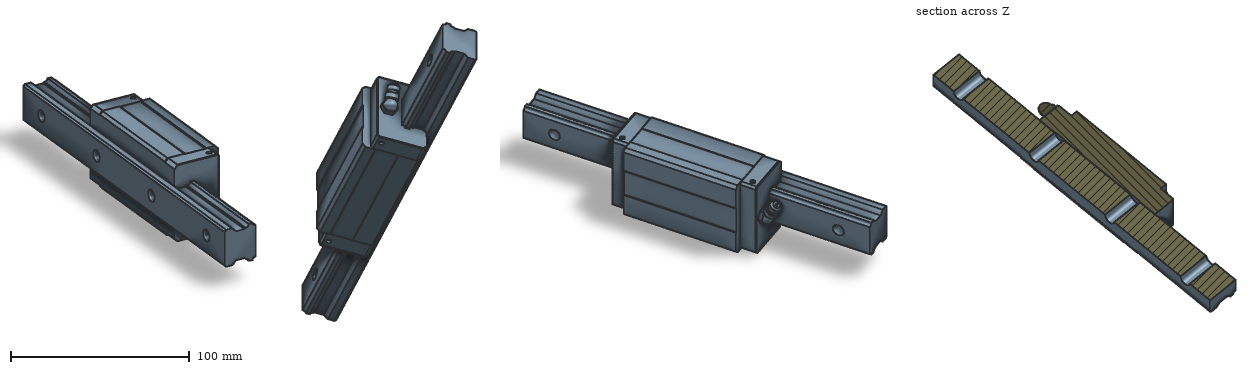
import cadquery as cq


rail_length = 220.0
rail_half_width = 11.5
rail_base_chamfer = 1.0
rail_top_half_width = 9.7
rail_web_half_width = 9.0
rail_foot_height = 5.0
web_bottom = 7.5
web_top = 13.0
web_relief = 0.7
land_bottom = 15.8
land_top = 18.3
upper_groove_height = 2.1
rail_height = land_top + upper_groove_height
groove_sag = 0.55
rail_hole_diameter = 7.0
rail_hole_pitch = 60.0
rail_hole_count = 4

carriage_top = 40.0
carriage_bottom = 5.5
block_length = 71.3
block_width = 48.0
block_chamfer = 2.0
block_bottom_chamfer_height = 1.5
side_recess_bottom = 18.5
side_recess_top = 32.0
side_recess_depth = 0.5
top_groove_width = 17.2
top_groove_depth = 0.7

cap_end_x = 46.0
cap_width = 47.5
cap_shoulder = 33.7
cap_top_chamfer = 1.43
cap_top = cap_shoulder + cap_top_chamfer
cap_bottom_chamfer = 2.2
seal_thickness = 0.7
seal_top_inset = 0.7
seal_side_inset = 0.2
cap_hole_diameter = 2.9
cap_hole_depth = 2.2
cap_hole_x = 41.4
cap_hole_y = 30.8

nipple_y = 28.4
hex_corner_diameter = 9.7
hex_thickness = 2.5
ball_radius = 4.2
ball_offset = 3.0
barrel_tilt = 30.0
collar_radius = 3.85
collar_start = 3.5
collar_end = 6.5
neck_radius = 2.6
head_radius = 3.5
head_start = 8.4
head_shoulder = 11.0
tip_radius = 2.2
barrel_length = 12.3
tip_bore_diameter = 1.5
tip_bore_depth = 1.0


def mirrored_bar(half_outline, length):
    """Bar centred on X = 0 whose section is the half outline plus its mirror image in Z = 0."""
    half = half_outline.extrude(length / 2, both=True)
    return half.union(half.mirror("XY")).clean()


def rail_bar():
    """Rail without its screw holes; the carriage channel has the same section."""
    half_outline = (
        cq.Workplane("YZ")
        .moveTo(0, 0)
        .lineTo(0, rail_half_width - rail_base_chamfer)
        .lineTo(rail_base_chamfer, rail_half_width)
        .lineTo(rail_foot_height, rail_half_width)
        .lineTo(web_bottom, rail_web_half_width)
        .lineTo(web_top, rail_web_half_width)
        .lineTo(web_top + web_relief, rail_web_half_width + web_relief)
        .sagittaArc((land_bottom, rail_half_width), -groove_sag)
        .lineTo(land_top, rail_half_width)
        .sagittaArc((rail_height, rail_top_half_width), -groove_sag)
        .lineTo(rail_height, 0)
        .close()
    )
    return mirrored_bar(half_outline, rail_length)


def make_rail():
    """Rail with a row of through holes along its length."""
    holes = (
        cq.Workplane("XZ")
        .rarray(rail_hole_pitch, 2.2, rail_hole_count, 1)
        .circle(rail_hole_diameter / 2)
        .extrude(-rail_height)
    )
    return rail_bar().cut(holes)


def make_block():
    """Steel middle of the carriage, with side recesses and a shallow groove in its top."""
    half_width = block_width / 2
    recess_half_width = half_width - side_recess_depth
    half_outline = (
        cq.Workplane("YZ")
        .moveTo(carriage_bottom, 0)
        .lineTo(carriage_bottom, half_width - block_chamfer)
        .lineTo(carriage_bottom + block_bottom_chamfer_height, half_width)
        .lineTo(side_recess_bottom, half_width)
        .lineTo(side_recess_bottom, recess_half_width)
        .lineTo(side_recess_top, recess_half_width)
        .lineTo(side_recess_top + side_recess_depth, half_width)
        .lineTo(carriage_top - block_chamfer, half_width)
        .lineTo(carriage_top, half_width - block_chamfer)
        .lineTo(carriage_top, top_groove_width / 2)
        .lineTo(carriage_top - top_groove_depth, top_groove_width / 2)
        .lineTo(carriage_top - top_groove_depth, 0)
        .close()
    )
    return mirrored_bar(half_outline, block_length)


def make_caps():
    """Both end caps, each with a slightly smaller seal lip on its outer end."""
    half_width = cap_width / 2
    half_outline = (
        cq.Workplane("YZ")
        .moveTo(carriage_bottom, 0)
        .lineTo(carriage_bottom, half_width - cap_bottom_chamfer)
        .lineTo(carriage_bottom + cap_bottom_chamfer, half_width)
        .lineTo(cap_shoulder, half_width)
        .lineTo(cap_top, half_width - cap_top_chamfer)
        .lineTo(cap_top, 0)
        .close()
    )
    full_bar = mirrored_bar(half_outline, 2 * cap_end_x)
    body_length = 2 * (cap_end_x - seal_thickness)
    body_region = cq.Workplane("XY").box(body_length, 2 * cap_top, cap_width)
    seal_region = cq.Workplane("XY").box(
        2 * cap_end_x, 2 * (cap_top - seal_top_inset), cap_width - 2 * seal_side_inset
    )
    block_region = cq.Workplane("XY").box(block_length, 2 * carriage_top, block_width)
    return full_bar.intersect(body_region.union(seal_region)).cut(block_region)


def cap_holes():
    """Blind holes in both Z sides of both caps."""
    holes = cq.Workplane("XY")
    for side in (-1, 1):
        holes = holes.union(
            cq.Workplane("XY", origin=(0, 0, side * cap_width / 2))
            .pushPoints([(-cap_hole_x, cap_hole_y), (cap_hole_x, cap_hole_y)])
            .circle(cap_hole_diameter / 2)
            .extrude(-side * cap_hole_depth)
        )
    return holes


def make_carriage():
    """Block and end caps in one body, with the rail channel cut along its whole length."""
    return make_block().union(make_caps().cut(cap_holes())).cut(rail_bar())


def make_nipple():
    """Grease nipple: hexagon on the cap end face, ball, and a barrel tilted out of the ball."""
    hexagon = (
        cq.Workplane("YZ", origin=(-cap_end_x, nipple_y, 0))
        .polygon(6, hex_corner_diameter)
        .extrude(-hex_thickness)
    )
    ball_x = -cap_end_x - ball_offset
    ball = cq.Workplane("XY").sphere(ball_radius)
    barrel = (
        cq.Workplane("XZ")
        .moveTo(0, 0)
        .lineTo(neck_radius, 0)
        .lineTo(neck_radius, collar_start)
        .lineTo(collar_radius, collar_start)
        .lineTo(collar_radius, collar_end)
        .lineTo(neck_radius, collar_end)
        .lineTo(neck_radius, head_start)
        .lineTo(head_radius, head_start)
        .lineTo(head_radius, head_shoulder)
        .lineTo(tip_radius, barrel_length)
        .lineTo(0, barrel_length)
        .close()
        .revolve(360, (0, 0, 0), (0, 1, 0))
        .faces(">Z")
        .workplane()
        .hole(tip_bore_diameter, tip_bore_depth)
    )
    elbow = ball.union(barrel).rotate((0, 0, 0), (0, 1, 0), -barrel_tilt)
    elbow = elbow.translate((ball_x, nipple_y, 0))
    behind_face = (
        cq.Workplane("XY", origin=(-cap_end_x / 2, nipple_y, 0))
        .box(cap_end_x, carriage_top, cap_width)
    )
    return hexagon.union(elbow.cut(behind_face))


rail = make_rail()
carriage = make_carriage()
nipple = make_nipple()

result = cq.Compound.makeCompound([rail.val(), carriage.val(), nipple.val()])